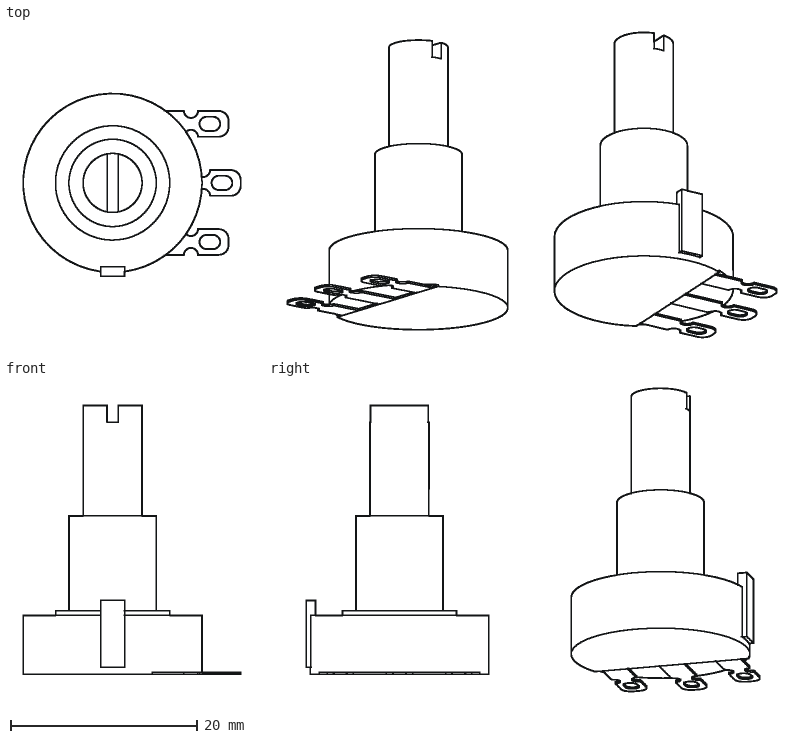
import cadquery as cq

housing_diameter = 19.25
housing_radius = housing_diameter / 2
housing_height = 6.35

flange_diameter = 12.3
flange_height = 0.5
bushing_diameter = 9.4
bushing_top = 17.03

shaft_diameter = 6.35
shaft_top = 28.91
slot_width = 1.2
slot_depth = 1.8

tab_width = 2.6
tab_thickness = 1.03
tab_front_y = -10.045
tab_bottom = 0.74
tab_top = 7.94

terminal_thickness = 0.2
terminal_width = 2.8
terminal_pitch = 6.35
terminal_corner_radius = 1.1
terminal_root_x = 4.25
middle_tip_x = 13.785
outer_tip_setback = 1.3
outer_tip_x = middle_tip_x - outer_tip_setback
eyelet_length = 2.2
eyelet_width = 1.5
tip_to_eyelet = 2.03
eyelet_to_notch = 2.03
notch_diameter = 1.5


def make_tab():
    """Upright bar that stands proud of the housing wall and rim."""
    return (
        cq.Workplane("XY")
        .box(tab_width, tab_thickness, tab_top - tab_bottom, centered=(True, False, False))
        .translate((0, tab_front_y, tab_bottom))
    )


def make_housing(tab):
    """Round can with a seat for the tab and a shallow step that clears the terminals."""
    can = cq.Workplane("XY").circle(housing_radius).extrude(housing_height)
    terminal_step = (
        cq.Workplane("XY")
        .box(housing_radius, housing_diameter, terminal_thickness, centered=(False, True, False))
        .translate((terminal_root_x, 0, 0))
    )
    return can.cut(terminal_step).cut(tab)


def make_bushing():
    """Flange and sleeve in one piece, standing on the housing."""
    flange = (
        cq.Workplane("XY")
        .workplane(offset=housing_height)
        .circle(flange_diameter / 2)
        .extrude(flange_height)
    )
    sleeve_height = bushing_top - housing_height - flange_height
    return flange.faces(">Z").workplane().circle(bushing_diameter / 2).extrude(sleeve_height)


def make_shaft():
    """Rod standing on the bushing, slotted along Y at its top."""
    rod = (
        cq.Workplane("XY")
        .workplane(offset=bushing_top)
        .circle(shaft_diameter / 2)
        .extrude(shaft_top - bushing_top)
    )
    driver_slot = (
        cq.Workplane("XY")
        .box(slot_width, shaft_diameter, slot_depth, centered=(True, True, False))
        .translate((0, 0, shaft_top - slot_depth))
    )
    return rod.cut(driver_slot)


def make_terminal(tip_x, center_y):
    """Flat lug running along +X, waisted by two half-round notches, with an eyelet near its tip."""
    eyelet_x = tip_x - tip_to_eyelet
    notch_x = eyelet_x - eyelet_to_notch
    half_width = terminal_width / 2
    strip = (
        cq.Workplane("XY")
        .box(tip_x - terminal_root_x, terminal_width, terminal_thickness, centered=(False, True, False))
        .translate((terminal_root_x, 0, 0))
        .edges("|Z and >X")
        .fillet(terminal_corner_radius)
    )
    eyelet = (
        cq.Workplane("XY")
        .center(eyelet_x, 0)
        .slot2D(eyelet_length, eyelet_width)
        .extrude(terminal_thickness)
    )
    notches = (
        cq.Workplane("XY")
        .pushPoints([(notch_x, -half_width), (notch_x, half_width)])
        .circle(notch_diameter / 2)
        .extrude(terminal_thickness)
    )
    return strip.cut(eyelet).cut(notches).translate((0, center_y, 0))


tab = make_tab()
housing = make_housing(tab)
bushing = make_bushing()
shaft = make_shaft()

terminals = []
for row in (-1, 0, 1):
    tip_x = middle_tip_x if row == 0 else outer_tip_x
    terminals.append(make_terminal(tip_x, row * terminal_pitch))

result = cq.Compound.makeCompound(
    [housing.val(), bushing.val(), shaft.val(), tab.val(), *[terminal.val() for terminal in terminals]]
)